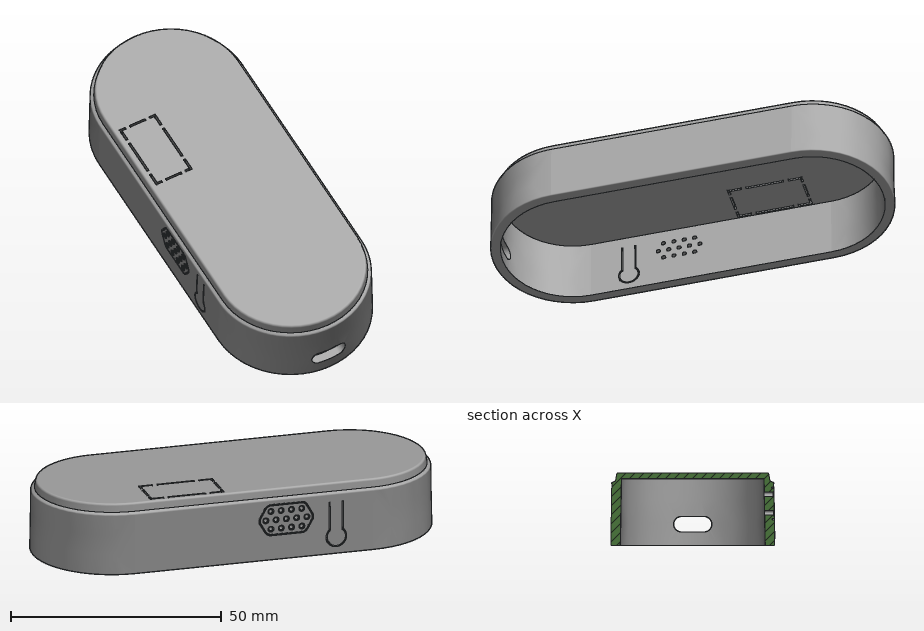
import cadquery as cq
import math

LENGTH = 98.0
WIDTH = 39.0
HEIGHT = 17.3
STRAIGHT = LENGTH - WIDTH
DRAFT = 1.0
SIDE_WALL = 2.4
ROOF = 1.5
BASE_ROUND = 0.3

SHOULDER_Z = 15.0
SHOULDER_WIDTH = 0.9
SHOULDER_SLOPE = 25.0
SHOULDER_RISE = SHOULDER_WIDTH * math.tan(math.radians(SHOULDER_SLOPE))
SHOULDER_ROUND = 0.5

LID_Z = SHOULDER_Z + SHOULDER_RISE
LID_DRAFT = 10.0
LID_ROUND = 0.6

WINDOW_X = -15.8
WINDOW_Y = -11.7
WINDOW_LENGTH = 18.3
WINDOW_WIDTH = 9.7
WINDOW_SLOT = 0.5
BRIDGE = 1.2
BRIDGE_X = 5.2
BRIDGE_Y = 2.6

GRILLE_X = 7.9
GRILLE_Z = 10.0
GRILLE_PITCH = 2.5
GRILLE_ROW_COUNTS = (4, 5, 4)
GRILLE_ROW_STEP = GRILLE_PITCH * math.sin(math.radians(60))
GRILLE_HOLE = 1.0
GRILLE_COUNTERSINK = 0.245
GRILLE_BORDER = 1.4
GROOVE_WIDTH = 0.3
GROOVE_DEPTH = 0.5

TONGUE_X = 20.3
TONGUE_TOP_Z = 13.0
TONGUE_SLOT = 0.3
STEM_WIDTH = 2.9
BULB_Z = 4.3
BULB_RADIUS = 2.3

PORT_WIDTH = 9.0
PORT_HEIGHT = 3.6
PORT_Z = 5.1

SIDE_DEPTH = WIDTH / 4


def stadium_block(width, z_bottom, height, draft=DRAFT):
    """Drafted stadium; width is measured at its lower end."""
    return (
        cq.Workplane("XY", origin=(0, 0, z_bottom))
        .slot2D(STRAIGHT + width, width)
        .extrude(height, taper=draft)
    )


def lean_at(z):
    """How far the drafted side has moved inward at height z from its widest level."""
    return (z - BASE_ROUND) * math.tan(math.radians(DRAFT))


def front_plane(x, z, depth=0.0):
    """Sketch plane parallel to the front wall, with its normal pointing outward."""
    return cq.Workplane(cq.Plane((x, depth - WIDTH / 2, z), xDir=(1, 0, 0), normal=(0, -1, 0)))


def make_shell():
    shoulder_width = WIDTH - 2 * lean_at(SHOULDER_Z)
    lid_width = shoulder_width - 2 * SHOULDER_WIDTH
    body = stadium_block(WIDTH - 2 * lean_at(0), 0, SHOULDER_Z)
    shoulder = stadium_block(shoulder_width, SHOULDER_Z, SHOULDER_RISE, 90 - SHOULDER_SLOPE)
    body = body.union(shoulder)
    shoulder_band = cq.selectors.BoxSelector(
        (-LENGTH, -WIDTH, SHOULDER_Z - SHOULDER_RISE / 2),
        (LENGTH, WIDTH, SHOULDER_Z + SHOULDER_RISE / 2),
    )
    body = body.edges(shoulder_band).fillet(SHOULDER_ROUND)
    body = body.faces("<Z").edges().fillet(BASE_ROUND)
    lid = stadium_block(lid_width, LID_Z, HEIGHT - LID_Z, LID_DRAFT)
    lid = lid.faces(">Z").edges().fillet(LID_ROUND)
    cavity = stadium_block(WIDTH - 2 * SIDE_WALL, 0, HEIGHT - ROOF)
    return body.union(lid).cut(cavity)


def make_window_slots():
    depth = 3 * ROOF
    plane = cq.Workplane("XY", origin=(WINDOW_X, WINDOW_Y, HEIGHT - 2 * ROOF))
    inner_length = WINDOW_LENGTH - 2 * WINDOW_SLOT
    inner_width = WINDOW_WIDTH - 2 * WINDOW_SLOT
    frame = plane.rect(WINDOW_LENGTH, WINDOW_WIDTH).extrude(depth)
    frame = frame.cut(plane.rect(inner_length, inner_width).extrude(depth))
    bridges_x = plane.pushPoints([(-BRIDGE_X, 0), (BRIDGE_X, 0)]).rect(BRIDGE, WINDOW_WIDTH).extrude(depth)
    bridges_y = plane.pushPoints([(0, -BRIDGE_Y), (0, BRIDGE_Y)]).rect(WINDOW_LENGTH, BRIDGE).extrude(depth)
    return frame.cut(bridges_x).cut(bridges_y)


def make_grille_holes():
    centres = []
    for row, count in enumerate(GRILLE_ROW_COUNTS):
        for column in range(count):
            centres.append(((column - (count - 1) / 2) * GRILLE_PITCH, (row - 1) * GRILLE_ROW_STEP))
    holes = front_plane(GRILLE_X, GRILLE_Z).pushPoints(centres).circle(GRILLE_HOLE / 2).extrude(-SIDE_DEPTH)
    for x, z in centres:
        lean = lean_at(GRILLE_Z + z)
        mouth = (
            front_plane(GRILLE_X + x, GRILLE_Z + z, lean)
            .circle(GRILLE_HOLE / 2 + GRILLE_COUNTERSINK)
            .workplane(offset=-GRILLE_COUNTERSINK)
            .circle(GRILLE_HOLE / 2)
            .loft()
        )
        holes = holes.union(mouth)
    return holes


def make_grille_groove():
    tip_x = 2 * GRILLE_PITCH
    corner_x = 1.5 * GRILLE_PITCH
    corners = [
        (tip_x, 0),
        (corner_x, GRILLE_ROW_STEP),
        (-corner_x, GRILLE_ROW_STEP),
        (-tip_x, 0),
        (-corner_x, -GRILLE_ROW_STEP),
        (corner_x, -GRILLE_ROW_STEP),
    ]

    def rounded_hexagon(border):
        return front_plane(GRILLE_X, GRILLE_Z).polyline(corners).close().offset2D(border).extrude(-SIDE_DEPTH)

    ring = rounded_hexagon(GRILLE_BORDER + GROOVE_WIDTH).cut(rounded_hexagon(GRILLE_BORDER))
    floor_depth = lean_at(GRILLE_Z) + GROOVE_DEPTH
    floor = front_plane(GRILLE_X, GRILLE_Z, floor_depth).transformed(rotate=(-DRAFT, 0, 0))
    return ring.intersect(floor.rect(LENGTH, WIDTH).extrude(WIDTH))


def make_tongue_slot():
    def keyhole(border):
        stem_height = TONGUE_TOP_Z - BULB_Z
        stem = (
            front_plane(TONGUE_X, BULB_Z + stem_height / 2)
            .rect(STEM_WIDTH + 2 * border, stem_height)
            .extrude(-SIDE_DEPTH)
        )
        bulb = front_plane(TONGUE_X, BULB_Z).circle(BULB_RADIUS + border).extrude(-SIDE_DEPTH)
        return stem.union(bulb)

    return keyhole(TONGUE_SLOT).cut(keyhole(0))


def make_port():
    return (
        cq.Workplane("YZ", origin=(LENGTH / 2, 0, PORT_Z))
        .slot2D(PORT_WIDTH, PORT_HEIGHT)
        .extrude(-SIDE_DEPTH)
    )


openings = (
    make_window_slots(),
    make_grille_holes(),
    make_grille_groove(),
    make_tongue_slot(),
    make_port(),
)

result = make_shell()
for opening in openings:
    result = result.cut(opening)